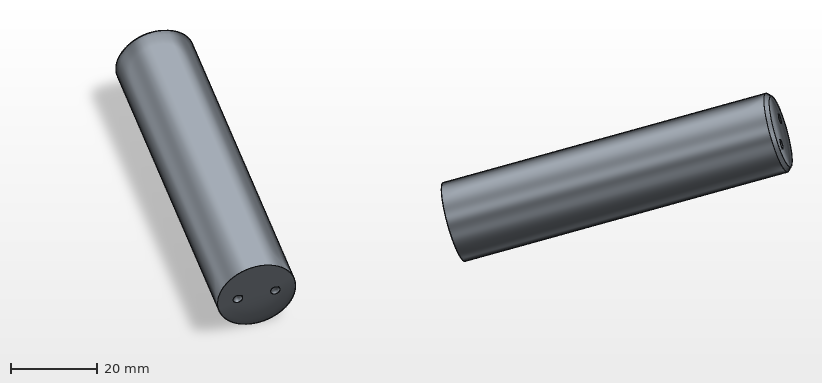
import cadquery as cq
import math

length = 80.0
diameter = 19.0
chamfer = 1.0

channel_diameter = 2.3
channel_pitch_circle = 9.1
channel_count = 2
helix_angle = 30.0

helix_pitch = math.pi * diameter / math.tan(math.radians(helix_angle))
total_twist = 360 * length / helix_pitch
start_angle = -total_twist


def make_bar():
    """Plain bar centred on the origin, chamfered at its -X end."""
    bar = cq.Workplane("YZ").circle(diameter / 2).extrude(length / 2, both=True)
    return bar.faces("<X").edges().chamfer(chamfer)


def coolant_channel(angle):
    """Cutter for one through channel that starts at the given angle from +Y."""
    radius = channel_pitch_circle / 2
    y = radius * math.cos(math.radians(angle))
    z = radius * math.sin(math.radians(angle))
    return (
        cq.Workplane("YZ", origin=(-length / 2, 0, 0))
        .pushPoints([(y, z)])
        .circle(channel_diameter / 2)
        .twistExtrude(length, total_twist)
    )


result = make_bar()
for index in range(channel_count):
    result = result.cut(coolant_channel(start_angle + index * 360 / channel_count))